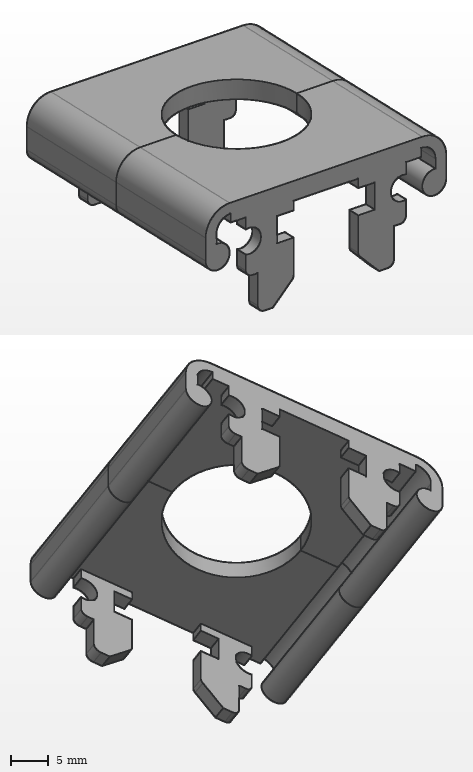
import cadquery as cq
import math

length = 40.0
width = 40.0
height = 18.0
half_length = length / 2
half_width = width / 2

plate_thickness = 3.0
outer_radius = 4.0
wall_thickness = 1.8
groove_side = 15.85
groove_radius = half_width - wall_thickness - groove_side
bead_radius = 2.0
bead_drop = 7.5
bore_diameter = 20.0

leg_thickness = 2.0
leg_inner = 5.35
leg_outer = 11.3
shoulder_outer = 13.3
shoulder_drop = 12.0
shoulder_radius = 1.0
foot_radius = 1.1
bevel_angle = math.radians(45)
foot_bevel = 3.5
bevel_round_diameter = 1.8
bevel_round_radius = bevel_round_diameter / 2
slot_outer = 8.1
slot_top_drop = 4.45
slot_height = 4.1
notch_radius = 1.95
notch_center = (12.75, -6.7)


def make_plate():
    """Flat plate with rounded long edges, from the joint to the outer end."""
    return (
        cq.Workplane("YZ")
        .moveTo(0, 0)
        .lineTo(half_width - outer_radius, 0)
        .radiusArc((half_width, -outer_radius), outer_radius)
        .lineTo(half_width, -bead_drop)
        .lineTo(half_width - wall_thickness, -bead_drop)
        .lineTo(half_width - wall_thickness, -outer_radius)
        .radiusArc((groove_side, groove_radius - outer_radius), -groove_radius)
        .lineTo(groove_side, -plate_thickness)
        .lineTo(0, -plate_thickness)
        .close()
        .extrude(half_length)
    )


def make_bead():
    """Round bead along the lower edge of the side wall."""
    return (
        cq.Workplane("YZ")
        .center(half_width - bead_radius, -bead_drop)
        .circle(bead_radius)
        .extrude(half_length)
    )


def make_leg():
    """Clip leg with a shoulder, an inner slot, a round outer notch and a bevelled foot."""
    shoulder_corner = shoulder_outer - shoulder_radius
    foot_corner = leg_outer - foot_radius
    bevel_top = foot_bevel - height
    round_length = bevel_round_radius * math.tan(bevel_angle / 2)
    round_offset = round_length * math.cos(bevel_angle)
    leg = (
        cq.Workplane("YZ", origin=(half_length - leg_thickness, 0, 0))
        .moveTo(leg_inner, -plate_thickness)
        .lineTo(shoulder_outer, -plate_thickness)
        .lineTo(shoulder_outer, shoulder_radius - shoulder_drop)
        .radiusArc((shoulder_corner, -shoulder_drop), shoulder_radius)
        .lineTo(leg_outer, -shoulder_drop)
        .lineTo(leg_outer, foot_radius - height)
        .radiusArc((foot_corner, -height), foot_radius)
        .lineTo(leg_inner + foot_bevel, -height)
        .lineTo(leg_inner + round_offset, bevel_top - round_offset)
        .radiusArc((leg_inner, bevel_top + round_length), bevel_round_radius)
        .close()
        .extrude(leg_thickness)
    )
    notch = (
        cq.Workplane("YZ")
        .center(*notch_center)
        .circle(notch_radius)
        .extrude(half_length)
    )
    slot = cq.Workplane("XY").box(half_length, slot_outer, slot_height, centered=False)
    slot = slot.translate((0, 0, -slot_top_drop - slot_height))
    return leg.cut(notch).cut(slot)


def make_cover_half():
    """Half cover on the +X side of the joint, with its half of the central bore."""
    side = make_plate().union(make_bead()).union(make_leg())
    bore = cq.Workplane("XY").circle(bore_diameter / 2).extrude(-plate_thickness)
    return side.union(side.mirror("XZ")).cut(bore)


half_turn = 180
cover_halves = [
    make_cover_half().rotate((0, 0, 0), (0, 0, 1), angle)
    for angle in (0, half_turn)
]

result = cq.Compound.makeCompound([half.val() for half in cover_halves])